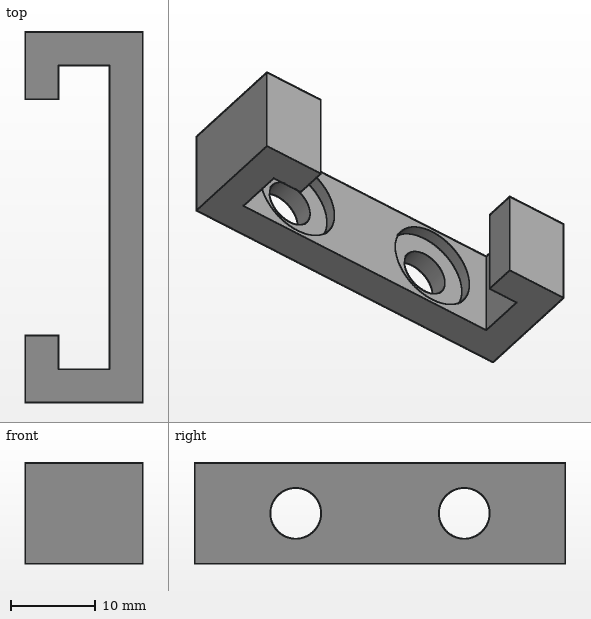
import cadquery as cq

depth = 14.0
length = 44.0
height = 12.0
wall = 4.0
lip_reach = 4.0

hole_spacing = 20.0
hole_diameter = 6.0
counterbore_diameter = 11.0
counterbore_depth = 1.5

cavity_depth = depth - 2 * wall
cavity_length = length - 2 * wall
mouth_length = cavity_length - 2 * lip_reach
back_inner_x = depth / 2 - wall


def centred_block(x_start, x_size, y_size):
    """Full-height block starting at x_start and centred on Y and Z."""
    return (
        cq.Workplane("XY")
        .box(x_size, y_size, height, centered=(False, True, True))
        .translate((x_start, 0, 0))
    )


def cylinder_along_x(x_start, y, diameter, x_size):
    """Cylinder running in +X from x_start, at mid height."""
    return (
        cq.Workplane("YZ", origin=(x_start, y, 0))
        .circle(diameter / 2)
        .extrude(x_size)
    )


def make_channel():
    """Bar hollowed into a C: a wide cavity behind a narrower mouth."""
    bar = centred_block(-depth / 2, depth, length)
    mouth = centred_block(-depth / 2, wall, mouth_length)
    cavity = centred_block(back_inner_x - cavity_depth, cavity_depth, cavity_length)
    return bar.cut(mouth).cut(cavity)


def cut_screw_hole(body, y):
    """Through hole with a shallow counterbore on the cavity side."""
    hole = cylinder_along_x(back_inner_x, y, hole_diameter, wall)
    counterbore = cylinder_along_x(back_inner_x, y, counterbore_diameter, counterbore_depth)
    return body.cut(hole).cut(counterbore)


result = make_channel()
for side in (-1, 1):
    result = cut_screw_hole(result, side * hole_spacing / 2)